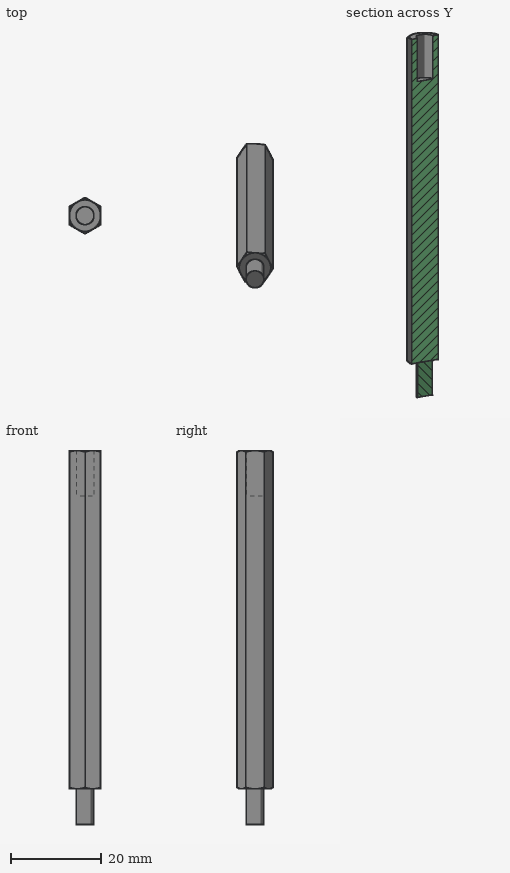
import cadquery as cq
import math

total_length = 83.0
stud_length = 8.0
body_length = total_length - stud_length

across_flats = 7.0
across_corners = across_flats / math.cos(math.radians(30))
corner_overhang = (across_corners - across_flats) / 2
chamfer_angle = 30.0
chamfer_height = corner_overhang * math.tan(math.radians(chamfer_angle))

thread_diameter = 4.0
bore_depth = 10.0


def make_chamfer_envelope():
    """Turned blank whose conical ends cut back the corners of the hexagon."""
    end_radius = across_flats / 2
    corner_radius = across_corners / 2
    return (
        cq.Workplane("XZ")
        .moveTo(0, 0)
        .lineTo(end_radius, 0)
        .lineTo(corner_radius, chamfer_height)
        .lineTo(corner_radius, body_length - chamfer_height)
        .lineTo(end_radius, body_length)
        .lineTo(0, body_length)
        .close()
        .revolve(360, (0, 0), (0, 1))
    )


def make_hex_body():
    """Hexagonal spacer with chamfered corners and a blind bore in the top."""
    hexagon = (
        cq.Workplane("XY")
        .polygon(6, across_corners)
        .extrude(body_length)
        .rotate((0, 0, 0), (0, 0, 1), 30)
    )
    bore = (
        cq.Workplane("XY")
        .workplane(offset=body_length - bore_depth)
        .circle(thread_diameter / 2)
        .extrude(bore_depth)
    )
    return hexagon.intersect(make_chamfer_envelope()).cut(bore).solids()


def make_stud():
    """Plain round stud that meets the bottom face of the hexagonal body."""
    return cq.Workplane("XY").circle(thread_diameter / 2).extrude(-stud_length)


hex_body = make_hex_body()
stud = make_stud()

result = cq.Compound.makeCompound([hex_body.val(), stud.val()])